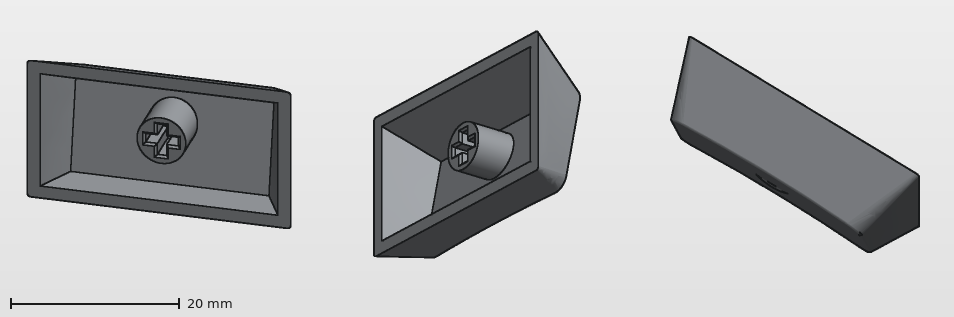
import cadquery as cq
import math

rim_length = 32.45
rim_height = 18.0
rim_corner_radius = 0.45

crown_length = 26.8
crown_corner_radius = 1.95
crown_top_y = 8.75
crown_top_z = 4.9
crown_bottom_y = 6.05
crown_edge_radius = 0.32
dish_depth = 0.4

wall = 1.6
cavity_floor_length = 24.4
cavity_floor_top_z = 3.83
crown_thickness = 1.55

stem_diameter = 6.0
stem_recess = 1.07
cross_span = 4.6
cross_arm = 1.72
socket_chamfer = 0.3

bottom_z = -rim_height / 2
lean_slope = (crown_top_y - crown_bottom_y) / (crown_top_z - bottom_z)
lean_angle = math.atan(lean_slope)
up_crown = cq.Vector(0, math.sin(lean_angle), math.cos(lean_angle))
crown_normal = cq.Vector(0, math.cos(lean_angle), -math.sin(lean_angle))


def crown_y(z):
    """Height of the crown plane above the rim at a given Z."""
    return crown_bottom_y + lean_slope * (z - bottom_z)


def floor_y(z):
    """Height of the cavity floor, parallel to the crown."""
    return crown_y(z) - crown_thickness / math.cos(lean_angle)


def rectangle_outline(length, low, high, radius=0):
    """Outline of a rectangle spanning two (y, z) edges, facing +Y."""
    center = cq.Vector(0, (low[0] + high[0]) / 2, (low[1] + high[1]) / 2)
    rise = cq.Vector(0, high[0] - low[0], high[1] - low[1])
    normal = cq.Vector(0, rise.z, -rise.y)
    sketch = cq.Sketch().rect(length, rise.Length)
    if radius:
        sketch = sketch.vertices().fillet(radius)
    plane = cq.Plane(origin=center, xDir=(-1, 0, 0), normal=normal)
    return sketch.moved(plane.location).faces().val().outerWire()


def make_shell():
    rim = rectangle_outline(rim_length, (0, bottom_z), (0, -bottom_z), rim_corner_radius)
    crown = rectangle_outline(
        crown_length, (crown_bottom_y, bottom_z), (crown_top_y, crown_top_z), crown_corner_radius
    )
    return cq.Workplane(cq.Solid.makeLoft([rim, crown], True))


def make_dish():
    """Shallow cylinder along the crown, touching the crown plane at its side edges."""
    half_length = crown_length / 2
    radius = (half_length**2 + dish_depth**2) / (2 * dish_depth)
    start = cq.Vector(0, crown_y(0), 0) + crown_normal * (radius - dish_depth) - up_crown * rim_height
    return cq.Workplane(cq.Solid.makeCylinder(radius, 2 * rim_height, start, up_crown))


def make_cavity():
    low_z = bottom_z + wall
    opening = rectangle_outline(rim_length - 2 * wall, (0, low_z), (0, -low_z))
    floor = rectangle_outline(
        cavity_floor_length,
        (floor_y(low_z), low_z),
        (floor_y(cavity_floor_top_z), cavity_floor_top_z),
    )
    return cq.Workplane(cq.Solid.makeLoft([opening, floor], True))


def make_cross_sketch(inset=0):
    span = cross_span - 2 * inset
    arm = cross_arm - 2 * inset
    return cq.Sketch().rect(span, arm).rect(arm, span).clean()


def make_stem():
    """Post with a cross socket running down to the cavity floor, where the crown closes it."""
    length = crown_y(0) - crown_thickness / 2 - stem_recess
    end_plane = cq.Plane(origin=(0, stem_recess, 0), xDir=(-1, 0, 0), normal=(0, 1, 0))
    post = cq.Workplane(end_plane).circle(stem_diameter / 2).extrude(length)
    socket = cq.Workplane(end_plane).placeSketch(make_cross_sketch(socket_chamfer)).extrude(length)
    lead_in = cq.Workplane(end_plane).placeSketch(
        make_cross_sketch(),
        make_cross_sketch(socket_chamfer).moved(cq.Location(cq.Vector(0, 0, socket_chamfer))),
    ).loft(ruled=True)
    return post.cut(socket).cut(lead_in)


dished = make_shell().cut(make_dish())
cap = dished.faces(">Y").edges().fillet(crown_edge_radius)
result = cap.cut(make_cavity()).union(make_stem())